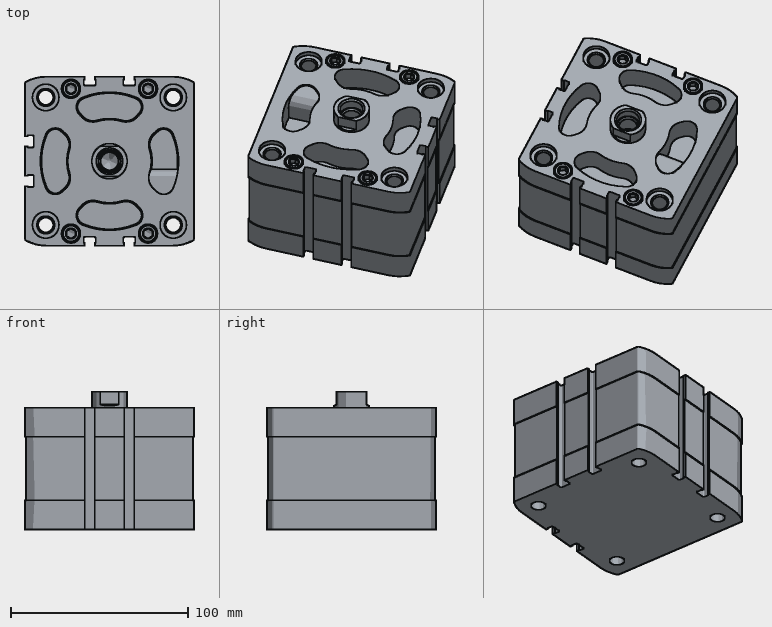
import cadquery as cq
import math

WIDTH = 95.5
HOUSING_HEIGHT = 68.95
CAP_HEIGHT = 16.5
BARREL_INSET = 0.5
CORNER_ARC_RADIUS = 23.5
CORNER_ARC_START = 35.9
CORNER_BLEND_RADIUS = 1.4

SLOT_MIDDLE = 11.2
SLOT_NECK_WIDTH = 5.7
SLOT_HEAD_WIDTH = 6.7
SLOT_NECK_DEPTH = 1.6
SLOT_DEPTH = 5.0
SLOT_FLOOR_RADIUS = 0.7

HOLE_OFFSET = 36.0
HOLE_DIAMETER = 8.4
HOLE_CHAMFER_DIAMETER = 10.0
COUNTERBORE_DIAMETER = 15.0
COUNTERBORE_DEPTH = 2.9

SCREW_X = 21.8
SCREW_Y = 40.9
SCREW_SEAT_DIAMETER = 10.7
SCREW_HEAD_DIAMETER = 10.1
SCREW_TOP_DIAMETER = 9.0
SCREW_GROOVE_DEPTH = 1.4
SOCKET_ACROSS_FLATS = 5.0
SOCKET_TURN = 30.0
SOCKET_MOUTH_DIAMETER = 6.0
SOCKET_DEPTH = 3.8
SOCKET_TIP_DEPTH = 0.7

POCKET_INNER_RADIUS = 23.5
POCKET_OUTER_RADIUS = 39.1
POCKET_END_RADIUS = 8.5
POCKET_END_ANGLE = 16.9
POCKET_CORNER_RADIUS = 5.8
POCKET_CORNER_ANGLE = 22.9
POCKET_DEPTH = 14.8
POCKET_DRAFT = 2.5
STEP_Y = -4.5
STEP_RADIUS = 6.8
STEP_BELOW_TOP = 1.0

ROD_DIAMETER = 20.0
ROD_PROTRUSION = 9.0
ROD_INSERTION = CAP_HEIGHT
ROD_TOP = HOUSING_HEIGHT + ROD_PROTRUSION
FLATS_WIDTH = 17.0
FLATS_HEIGHT = 7.2
FLATS_RUNOUT_ANGLE = 30.0
ROD_MOUTH_DIAMETER = 15.0
ROD_RECESS_DIAMETER = 13.0
ROD_COUNTERSINK_DIAMETER = 12.0
ROD_BORE_DIAMETER = 10.1
ROD_MOUTH_DEPTH = 1.0
ROD_RECESS_DEPTH = 6.2
ROD_BORE_DEPTH = 17.2
DRILL_TIP_ANGLE = 118.0


def polar(radius, angle, centre=(0, 0)):
    return (centre[0] + radius * math.cos(angle), centre[1] + radius * math.sin(angle))


def mirrored(point):
    return (point[0], -point[1])


def section_prism(inset, bottom, height):
    """Prism of the housing section: a square whose corners are cut back by large arcs."""
    half = WIDTH / 2
    centre_y = half - CORNER_ARC_RADIUS

    def on_arc(x):
        return centre_y + math.sqrt(CORNER_ARC_RADIUS**2 - (x - CORNER_ARC_START) ** 2)

    end_y = on_arc(half)
    middle_x = (CORNER_ARC_START + half) / 2
    middle_y = on_arc(middle_x)
    outline = (
        cq.Workplane("XY")
        .moveTo(-CORNER_ARC_START, half)
        .lineTo(CORNER_ARC_START, half)
        .threePointArc((middle_x, middle_y), (half, end_y))
        .lineTo(half, -end_y)
        .threePointArc((middle_x, -middle_y), (CORNER_ARC_START, -half))
        .lineTo(-CORNER_ARC_START, -half)
        .threePointArc((-middle_x, -middle_y), (-half, -end_y))
        .lineTo(-half, end_y)
        .threePointArc((-middle_x, middle_y), (-CORNER_ARC_START, half))
        .close()
        .wire()
        .val()
    )
    corners = [v for v in outline.Vertices() if math.isclose(abs(v.X), half)]
    outline = outline.fillet2D(CORNER_BLEND_RADIUS, corners)
    if inset:
        outline = outline.offset2D(-inset)[0]
    return cq.Workplane("XY").add(outline).toPending().extrude(height).translate((0, 0, bottom))


def housing_block():
    barrel_height = HOUSING_HEIGHT - 2 * CAP_HEIGHT
    bottom_cap = section_prism(0, 0, CAP_HEIGHT)
    barrel = section_prism(BARREL_INSET, CAP_HEIGHT, barrel_height)
    top_cap = section_prism(0, CAP_HEIGHT + barrel_height, CAP_HEIGHT)
    return bottom_cap.union(barrel).union(top_cap)


def kidney_outline(inset, z):
    """Kidney outline on the +X side, shrunk evenly by the inset."""
    end_angle = math.radians(POCKET_END_ANGLE)
    corner_angle = math.radians(POCKET_CORNER_ANGLE)
    end_centre = polar(POCKET_INNER_RADIUS + POCKET_END_RADIUS, end_angle)
    corner_centre = polar(POCKET_OUTER_RADIUS - POCKET_CORNER_RADIUS, corner_angle)
    across = corner_centre[0] - end_centre[0]
    along = corner_centre[1] - end_centre[1]
    wall_angle = math.atan2(along, across) + math.acos(
        (POCKET_END_RADIUS - POCKET_CORNER_RADIUS) / math.hypot(across, along)
    )

    inner_radius = POCKET_INNER_RADIUS + inset
    outer_radius = POCKET_OUTER_RADIUS - inset
    end_radius = POCKET_END_RADIUS - inset
    corner_radius = POCKET_CORNER_RADIUS - inset
    outer = polar(outer_radius, corner_angle)
    corner_middle = polar(corner_radius, (corner_angle + wall_angle) / 2, corner_centre)
    corner_end = polar(corner_radius, wall_angle, corner_centre)
    end_start = polar(end_radius, wall_angle, end_centre)
    end_middle = polar(end_radius, (wall_angle + end_angle + math.pi) / 2, end_centre)
    inner = polar(inner_radius, end_angle)
    return (
        cq.Workplane("XY", origin=(0, 0, z))
        .moveTo(*mirrored(outer))
        .threePointArc((outer_radius, 0), outer)
        .threePointArc(corner_middle, corner_end)
        .lineTo(*end_start)
        .threePointArc(end_middle, inner)
        .threePointArc((inner_radius, 0), mirrored(inner))
        .threePointArc(mirrored(end_middle), mirrored(end_start))
        .lineTo(*mirrored(corner_end))
        .threePointArc(mirrored(corner_middle), mirrored(outer))
        .close()
        .val()
    )


def kidney_pocket():
    """Cutter for the drafted pocket on the +X side."""
    inset = POCKET_DEPTH * math.tan(math.radians(POCKET_DRAFT))
    floor = kidney_outline(inset, HOUSING_HEIGHT - POCKET_DEPTH)
    rim = kidney_outline(0, HOUSING_HEIGHT)
    return cq.Workplane(cq.Solid.makeLoft([floor, rim], True))


def pocket_step():
    """Block with a rounded edge that stays standing in the -Y end of the +X pocket."""
    size = WIDTH / 2
    return (
        cq.Workplane("XY")
        .box(size, size, HOUSING_HEIGHT - STEP_BELOW_TOP, centered=False)
        .translate((0, STEP_Y - size, 0))
        .edges(">Y and >Z")
        .fillet(STEP_RADIUS)
    )


def slot_pair():
    """Cutter for the two T-slots in the +Y side."""
    side = WIDTH / 2
    head_depth = SLOT_DEPTH - SLOT_NECK_DEPTH
    head = (
        cq.Workplane("XY")
        .center(SLOT_MIDDLE, side - SLOT_NECK_DEPTH - head_depth / 2)
        .rect(SLOT_HEAD_WIDTH, head_depth)
        .extrude(HOUSING_HEIGHT)
        .edges("|Z and <Y")
        .fillet(SLOT_FLOOR_RADIUS)
    )
    neck = (
        cq.Workplane("XY")
        .center(SLOT_MIDDLE, side - SLOT_NECK_DEPTH / 2)
        .rect(SLOT_NECK_WIDTH, SLOT_NECK_DEPTH)
        .extrude(HOUSING_HEIGHT)
    )
    slot = head.union(neck)
    return slot.union(slot.mirror("YZ"))


def corner_hole():
    """Cutter for a counterbored, chamfered through hole on the Z axis."""
    radius = HOLE_DIAMETER / 2
    chamfer_radius = HOLE_CHAMFER_DIAMETER / 2
    seat = HOUSING_HEIGHT - COUNTERBORE_DEPTH
    return (
        cq.Workplane("XZ")
        .polyline([
            (0, 0),
            (radius, 0),
            (radius, seat - (chamfer_radius - radius)),
            (chamfer_radius, seat),
            (COUNTERBORE_DIAMETER / 2, seat),
            (COUNTERBORE_DIAMETER / 2, HOUSING_HEIGHT),
            (0, HOUSING_HEIGHT),
        ])
        .close()
        .revolve(360, (0, 0), (0, 1))
    )


def screw_head():
    """Cutter that leaves a chamfered socket head standing in its seat on the Z axis."""
    chamfer = (SCREW_HEAD_DIAMETER - SCREW_TOP_DIAMETER) / 2
    groove = (
        cq.Workplane("XZ")
        .polyline([
            (SCREW_TOP_DIAMETER / 2, HOUSING_HEIGHT),
            (SCREW_SEAT_DIAMETER / 2, HOUSING_HEIGHT),
            (SCREW_SEAT_DIAMETER / 2, HOUSING_HEIGHT - SCREW_GROOVE_DEPTH),
            (SCREW_HEAD_DIAMETER / 2, HOUSING_HEIGHT - SCREW_GROOVE_DEPTH),
            (SCREW_HEAD_DIAMETER / 2, HOUSING_HEIGHT - chamfer),
        ])
        .close()
        .revolve(360, (0, 0), (0, 1))
    )
    corner_radius = SOCKET_ACROSS_FLATS / math.sqrt(3)
    mouth_radius = SOCKET_MOUTH_DIAMETER / 2
    floor = HOUSING_HEIGHT - SOCKET_DEPTH
    socket = (
        cq.Workplane("XY", origin=(0, 0, floor))
        .transformed(rotate=(0, 0, SOCKET_TURN))
        .polygon(6, 2 * corner_radius)
        .extrude(SOCKET_DEPTH)
    )
    tip_radius = SOCKET_ACROSS_FLATS / 2
    tip = cq.Workplane(cq.Solid.makeCone(tip_radius, 0, SOCKET_TIP_DEPTH, (0, 0, floor), (0, 0, -1)))
    mouth = cq.Workplane(
        cq.Solid.makeCone(mouth_radius, 0, mouth_radius, (0, 0, HOUSING_HEIGHT), (0, 0, -1))
    )
    return groove.union(socket.union(tip).union(mouth))


def four_places(cutter, x, y):
    return [cutter.translate((sx * x, sy * y, 0)) for sx in (-1, 1) for sy in (-1, 1)]


def make_housing():
    body = housing_block()
    slots = slot_pair()
    for turn in (0, 90, 180):
        body = body.cut(slots.rotate((0, 0, 0), (0, 0, 1), turn))
    pocket = kidney_pocket()
    body = body.cut(pocket.cut(pocket_step()))
    for turn in (90, 180, 270):
        body = body.cut(pocket.rotate((0, 0, 0), (0, 0, 1), turn))
    for cutter in four_places(corner_hole(), HOLE_OFFSET, HOLE_OFFSET):
        body = body.cut(cutter)
    for cutter in four_places(screw_head(), SCREW_X, SCREW_Y):
        body = body.cut(cutter)
    rod_bore = (
        cq.Workplane("XY", origin=(0, 0, HOUSING_HEIGHT))
        .circle(ROD_DIAMETER / 2)
        .extrude(-ROD_INSERTION)
    )
    return body.cut(rod_bore)


def rod_end_bore():
    bore_radius = ROD_BORE_DIAMETER / 2
    sink_radius = ROD_COUNTERSINK_DIAMETER / 2
    sink_top = ROD_TOP - ROD_RECESS_DEPTH
    bore_bottom = ROD_TOP - ROD_BORE_DEPTH
    tip = bore_bottom - bore_radius / math.tan(math.radians(DRILL_TIP_ANGLE / 2))
    return (
        cq.Workplane("XZ")
        .polyline([
            (0, tip),
            (bore_radius, bore_bottom),
            (bore_radius, sink_top - (sink_radius - bore_radius)),
            (sink_radius, sink_top),
            (ROD_RECESS_DIAMETER / 2, sink_top),
            (ROD_RECESS_DIAMETER / 2, ROD_TOP - ROD_MOUTH_DEPTH),
            (ROD_MOUTH_DIAMETER / 2, ROD_TOP),
            (0, ROD_TOP),
        ])
        .close()
        .revolve(360, (0, 0), (0, 1))
    )


def wrench_flat():
    """Cutter for the +Y flat, with a sloped shoulder at its foot."""
    flat_y = FLATS_WIDTH / 2
    outside_y = ROD_DIAMETER / 2
    foot = ROD_TOP - FLATS_HEIGHT
    drop = (outside_y - flat_y) * math.tan(math.radians(FLATS_RUNOUT_ANGLE))
    return (
        cq.Workplane("YZ")
        .polyline([(flat_y, ROD_TOP), (flat_y, foot), (outside_y, foot - drop), (outside_y, ROD_TOP)])
        .close()
        .extrude(ROD_DIAMETER / 2, both=True)
    )


def make_piston_rod():
    rod = (
        cq.Workplane("XY", origin=(0, 0, HOUSING_HEIGHT - ROD_INSERTION))
        .circle(ROD_DIAMETER / 2)
        .extrude(ROD_INSERTION + ROD_PROTRUSION)
        .cut(rod_end_bore())
    )
    flat = wrench_flat()
    return rod.cut(flat).cut(flat.mirror("XZ"))


housing = make_housing()
piston_rod = make_piston_rod()
result = cq.Compound.makeCompound([housing.val(), piston_rod.val()])